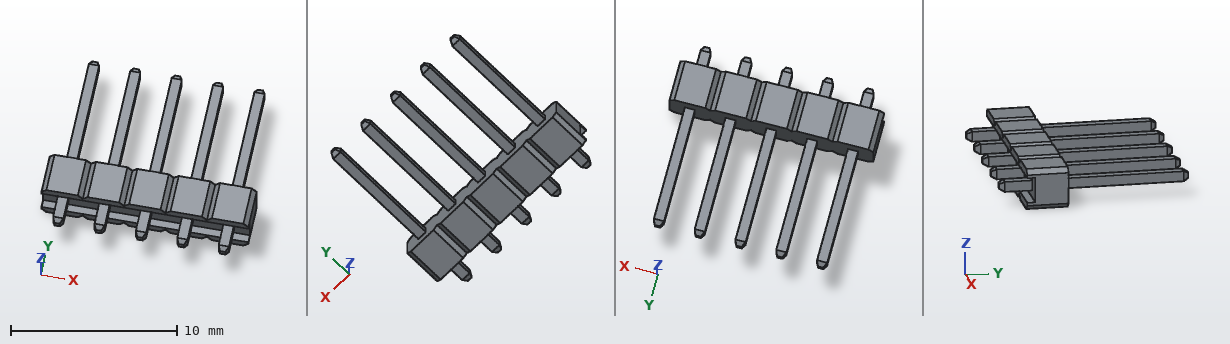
import cadquery as cq

pin_count = 5
pitch = 2.54

housing_length = pin_count * pitch
housing_depth = pitch
housing_height = pitch
corner_chamfer = 0.3

channel_wall = 0.5
channel_depth = 0.5
channel_height = housing_height - 2 * channel_wall

pin_width = 0.64
tip_length = pin_width / 2
tip_width = pin_width / 2
front_reach = 1.5
back_reach = 7.56

front_y = -housing_depth / 2
back_y = housing_depth / 2


def housing_cell(center_x):
    """One pin's share of the housing, with its four long edges chamfered."""
    cell = cq.Workplane("XY").box(pitch, housing_depth, housing_height)
    return cell.edges("|Y").chamfer(corner_chamfer).translate((center_x, 0, 0))


def pin_tip(center_x, base_y, direction):
    """Tapered pin end starting at base_y; direction is +1 or -1 along Y."""
    return (
        cq.Workplane("XZ", origin=(center_x, base_y, 0))
        .rect(pin_width, pin_width)
        .workplane(offset=-direction * tip_length)
        .rect(tip_width, tip_width)
        .loft(ruled=True)
    )


def pin(center_x):
    """Square pin running through the housing, tapered at both ends."""
    shank_front = front_y - front_reach + tip_length
    shank_back = back_y + back_reach - tip_length
    shank = cq.Workplane("XY").box(
        pin_width, shank_back - shank_front, pin_width
    ).translate((center_x, (shank_front + shank_back) / 2, 0))
    front_tip = pin_tip(center_x, shank_front, -1)
    back_tip = pin_tip(center_x, shank_back, 1)
    return shank.union(front_tip).union(back_tip)


pin_positions = [(i - (pin_count - 1) / 2) * pitch for i in range(pin_count)]

housing = housing_cell(pin_positions[0])
for x in pin_positions[1:]:
    housing = housing.union(housing_cell(x))
housing = housing.clean()

channel = cq.Workplane("XY").box(
    housing_length, channel_depth, channel_height
).translate((0, front_y + channel_depth / 2, 0))

result = housing.cut(channel)
for x in pin_positions:
    result = result.union(pin(x))